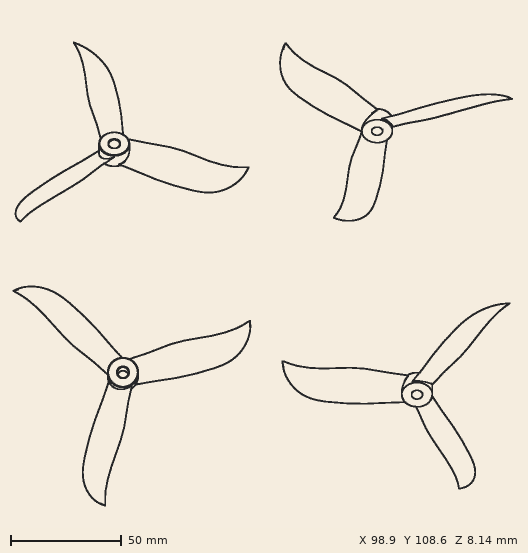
import cadquery as cq
import math

blade_count = 3
blade_reach = 62.1
blade_spacing = 360 / blade_count

hub_radius = 7.0
bore_radius = 2.5
hub_height = 7.8
top_chamfer = 0.3

upper_sag = 0.08
lower_sag = 0.14
tip_y = 6.6
tip_z = 7.7
tip_gap = 0.1

blade_stations = [
    (3.3, (5.1, 7.0), (-5.5, 1.2)),
    (9.2, (5.4, 7.2), (-6.1, 0.8)),
    (15.2, (5.8, 7.4), (-6.7, 0.3)),
    (24.4, (6.5, 7.6), (-7.8, -0.1)),
    (34.2, (6.1, 7.5), (-8.2, -0.3)),
    (41.2, (5.3, 7.0), (-8.1, -0.3)),
    (48.8, (4.9, 6.8), (-7.1, 0.2)),
    (55.4, (5.2, 7.2), (-3.9, 2.0)),
    (59.7, (6.1, 7.6), (0.5, 4.3)),
    (blade_reach, (tip_y, tip_z), (tip_y - tip_gap, tip_z - tip_gap)),
]


def section_wire(distance, high_edge, low_edge):
    """Crescent section in a plane of constant X: two arcs that meet at the blade edges."""
    run = high_edge[0] - low_edge[0]
    rise = high_edge[1] - low_edge[1]
    chord = math.hypot(run, rise)
    middle = ((high_edge[0] + low_edge[0]) / 2, (high_edge[1] + low_edge[1]) / 2)
    downward = (rise / chord, -run / chord)

    def arc_middle(depth):
        return (middle[0] + depth * downward[0], middle[1] + depth * downward[1])

    return (
        cq.Workplane("YZ", origin=(distance, 0, 0))
        .moveTo(*low_edge)
        .threePointArc(arc_middle(upper_sag * chord), high_edge)
        .threePointArc(arc_middle(lower_sag * chord), low_edge)
        .close()
        .val()
    )


def make_blade():
    """Blade along +X, lofted from a root buried in the hub wall out to the tip."""
    sections = [section_wire(*station) for station in blade_stations]
    return cq.Workplane(cq.Solid.makeLoft(sections))


def make_hub():
    """Bored cylinder with the outer rim and the bore mouth chamfered on top."""
    return (
        cq.Workplane("XY")
        .circle(hub_radius)
        .circle(bore_radius)
        .extrude(hub_height)
        .faces(">Z")
        .edges()
        .chamfer(top_chamfer)
    )


result = make_hub()
blade = make_blade()
for index in range(blade_count):
    result = result.union(blade.rotate((0, 0, 0), (0, 0, 1), index * blade_spacing))